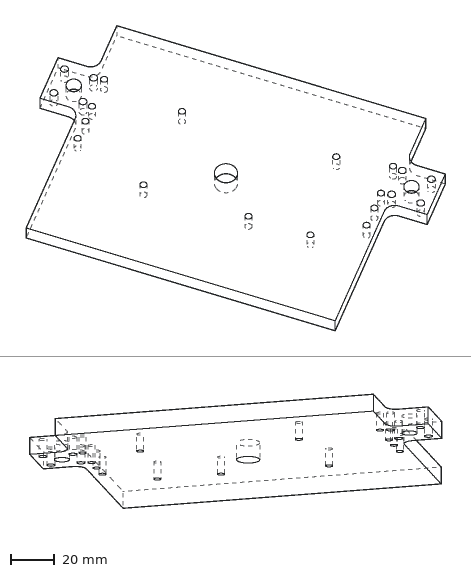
import cadquery as cq

overall_length = 188.0
body_length = 150.0
body_width = 120.0
thickness = 8.0
tab_width = 24.0
tab_center_y = 22.0
tab_fillet_radius = 5.0

center_bore_diameter = 10.5

tab_bore_x = 82.0
tab_bore_diameter = 7.0
tab_screw_diameter = 3.5
tab_screw_pitch = 14.1

small_hole_diameter = 3.2
side_column_x = 70.1
side_column_ys = [29.9, 14.0, 5.0, -5.0]

lower_row_y = -19.0
lower_row_xs = [-33.0, 17.9, 48.0]
upper_hole_points = [(-30.6, 25.4), (44.0, 26.0)]


def make_plate():
    """Rectangular plate with a tab on each side and filleted inner corners."""
    body = cq.Workplane("XY").box(body_length, body_width, thickness)
    tabs = (
        cq.Workplane("XY")
        .center(0, tab_center_y)
        .box(overall_length, tab_width, thickness)
    )
    plate = body.union(tabs)
    inner_corners = [
        (side * body_length / 2, tab_center_y + end * tab_width / 2, 0)
        for side in (-1, 1)
        for end in (-1, 1)
    ]
    for corner in inner_corners:
        edge = plate.edges("|Z").edges(cq.selectors.NearestToPointSelector(corner))
        plate = edge.fillet(tab_fillet_radius)
    return plate


def drill(plate, points, diameter):
    """Drill through holes at the given plate positions."""
    return plate.faces(">Z").workplane(origin=(0, 0, 0)).pushPoints(points).hole(diameter)


tab_bore_points = [(side * tab_bore_x, tab_center_y) for side in (-1, 1)]
tab_screw_points = [
    (x + dx * tab_screw_pitch / 2, y + dy * tab_screw_pitch / 2)
    for x, y in tab_bore_points
    for dx in (-1, 1)
    for dy in (-1, 1)
]
side_column_points = [(side * side_column_x, y) for side in (-1, 1) for y in side_column_ys]
lower_row_points = [(x, lower_row_y) for x in lower_row_xs]

result = make_plate()
result = drill(result, [(0, 0)], center_bore_diameter)
result = drill(result, tab_bore_points, tab_bore_diameter)
result = drill(result, tab_screw_points, tab_screw_diameter)
small_hole_points = side_column_points + lower_row_points + upper_hole_points
result = drill(result, small_hole_points, small_hole_diameter)